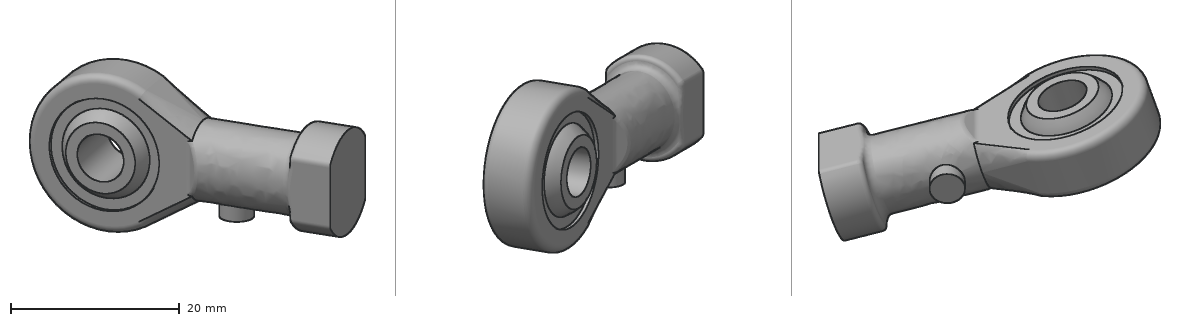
import cadquery as cq
import math

EYE_RADIUS = 10.0
EYE_HALF_THICKNESS = 6.75 / 2
EYE_ROUND = 1.0
RECESS_RADIUS = 7.1
RECESS_DEPTH = 0.5

BALL_RADIUS = 12.7 / 2
BALL_HALF_WIDTH = 9.0 / 2
BALL_BORE_RADIUS = 3.0

NECK_HALF_HEIGHT = 5.0
NECK_HALF_WIDTH = 4.75
NECK_START = 10.0
TAPER_ANGLE = 30.0
SLOPE_START = 10.97
SLOPE_ANGLE = 45.0
SLOPE_HEIGHT = NECK_HALF_WIDTH - EYE_HALF_THICKNESS
SLOPE_ROOT_ROUND = 1.0
SLOPE_CREST_ROUND = 0.7

SHANK_END = 30.0
COLLAR_START = 24.6
COLLAR_RADIUS = 6.6
COLLAR_HALF_FLATS = 10.5 / 2
COLLAR_CORNER_ROUND = 0.9
COLLAR_ROOT_ROUND = 0.95
COLLAR_RIM_ROUND = 0.64

STUB_RADIUS = 2.1
STUB_X = 15.65
STUB_BOTTOM = -6.5

taper = math.radians(TAPER_ANGLE)
tangent_x = EYE_RADIUS * math.sin(taper)
tangent_z = EYE_RADIUS * math.cos(taper)
taper_end = tangent_x + (tangent_z - NECK_HALF_HEIGHT) / math.tan(taper)


def disc(radius, half_width):
    """Cylinder along Y, centred on the origin."""
    return cq.Workplane("XZ").circle(radius).extrude(half_width, both=True)


def corner_cutter():
    """Tool for the +Y +Z flank edge: its round widens from the eye's round to the neck's oval."""
    half = EYE_HALF_THICKNESS
    r = EYE_ROUND
    setback = r * (1 - math.sqrt(0.5))

    def on_eye(depth, y):
        """Point at a radial depth below the eye's rim, on the tangent line."""
        return cq.Vector(tangent_x - depth * math.sin(taper), y, tangent_z - depth * math.cos(taper))

    def on_neck(y):
        return cq.Vector(taper_end, y, NECK_HALF_HEIGHT * math.sqrt(1 - (y / NECK_HALF_WIDTH) ** 2))

    def section(corner, top, middle, side):
        return cq.Wire.assembleEdges([
            cq.Edge.makeLine(corner, top),
            cq.Edge.makeThreePointArc(top, middle, side),
            cq.Edge.makeLine(side, corner),
        ])

    at_eye = section(on_eye(0, half), on_eye(0, half - r), on_eye(setback, half - setback), on_eye(r, half))
    at_neck = section(
        cq.Vector(taper_end, half, NECK_HALF_HEIGHT), on_neck(0), on_neck(half / 2), on_neck(half))
    return cq.Workplane(obj=cq.Solid.makeLoft([at_eye, at_neck], True))


def make_eye():
    ring = disc(EYE_RADIUS, EYE_HALF_THICKNESS).faces("<Y or >Y").edges().fillet(EYE_ROUND)
    flanks = (
        cq.Workplane("XZ")
        .polyline([
            (0, 0),
            (tangent_x, tangent_z),
            (taper_end, NECK_HALF_HEIGHT),
            (taper_end, -NECK_HALF_HEIGHT),
            (tangent_x, -tangent_z),
        ])
        .close()
        .extrude(EYE_HALF_THICKNESS, both=True)
    )
    ring = ring.cut(flanks)
    upper_back = corner_cutter()
    upper_front = upper_back.mirror("XZ")
    for cutter in (upper_back, upper_front, upper_back.mirror("XY"), upper_front.mirror("XY")):
        flanks = flanks.cut(cutter)
    return ring.union(flanks)


def collar_bar():
    """Collar section carried along the whole shank."""
    length = SHANK_END - NECK_START
    bar = cq.Workplane("YZ", origin=(NECK_START, 0, 0)).circle(COLLAR_RADIUS).extrude(length)
    flats = cq.Workplane("XY").box(4 * SHANK_END, 2 * COLLAR_HALF_FLATS, 4 * COLLAR_RADIUS)
    return bar.intersect(flats).edges("|X").edges("<Y or >Y").fillet(COLLAR_CORNER_ROUND)


def slope_cutter():
    """Tool on the +Y side that brings the neck down along a slope to the eye's flat face."""
    low = EYE_HALF_THICKNESS
    high = low + 2 * SLOPE_HEIGHT
    half_bend = math.radians(SLOPE_ANGLE / 2)
    tangent_length = SLOPE_ROOT_ROUND * math.tan(half_bend)
    root_x = SLOPE_START - tangent_length
    root_middle = (
        root_x + SLOPE_ROOT_ROUND * math.sin(half_bend),
        low + SLOPE_ROOT_ROUND * (1 - math.cos(half_bend)),
    )
    slope = math.radians(SLOPE_ANGLE)
    root_end = (
        SLOPE_START + tangent_length * math.cos(slope),
        low + tangent_length * math.sin(slope),
    )
    return (
        cq.Workplane("XY")
        .moveTo(0, low)
        .lineTo(root_x, low)
        .threePointArc(root_middle, root_end)
        .lineTo(SLOPE_START + (high - low) / math.tan(slope), high)
        .lineTo(0, high)
        .close()
        .extrude(2 * NECK_HALF_HEIGHT, both=True)
    )


def make_shank():
    neck = (
        cq.Workplane("YZ", origin=(NECK_START, 0, 0))
        .ellipse(NECK_HALF_WIDTH, NECK_HALF_HEIGHT)
        .extrude(COLLAR_START - NECK_START)
    )
    oversize_collar = (
        cq.Workplane("YZ", origin=(COLLAR_START, 0, 0))
        .circle(2 * COLLAR_RADIUS)
        .extrude(SHANK_END - COLLAR_START)
    )
    shank = neck.union(oversize_collar).edges("%ELLIPSE").edges(">X").fillet(COLLAR_ROOT_ROUND)
    shank = shank.intersect(collar_bar())

    rim_top = cq.selectors.NearestToPointSelector((COLLAR_START, 0, COLLAR_RADIUS))
    shank = shank.edges(rim_top).fillet(COLLAR_RIM_ROUND)

    cutter = slope_cutter()
    shank = shank.cut(cutter).cut(cutter.mirror("XZ"))
    crest_x = SLOPE_START + SLOPE_HEIGHT / math.tan(math.radians(SLOPE_ANGLE))
    for side in (-1, 1):
        crest = (crest_x, side * NECK_HALF_WIDTH, 0)
        shank = shank.edges(cq.selectors.NearestToPointSelector(crest)).fillet(SLOPE_CREST_ROUND)
    return shank


def make_stub():
    return (
        cq.Workplane("XY", origin=(STUB_X, 0, STUB_BOTTOM)).circle(STUB_RADIUS).extrude(-STUB_BOTTOM)
    )


def barrel(half_width):
    """Ball-sized sphere about the origin with flat ends at +-half_width along Y."""
    end_radius = math.sqrt(BALL_RADIUS**2 - half_width**2)
    return (
        cq.Workplane("YZ")
        .moveTo(-half_width, 0)
        .lineTo(-half_width, end_radius)
        .threePointArc((0, BALL_RADIUS), (half_width, end_radius))
        .lineTo(half_width, 0)
        .close()
        .revolve(360, (0, 0, 0), (1, 0, 0))
    )


def make_housing():
    seat_half_width = EYE_HALF_THICKNESS - RECESS_DEPTH
    recess = disc(RECESS_RADIUS, EYE_HALF_THICKNESS).cut(disc(RECESS_RADIUS, seat_half_width))
    housing = make_eye().union(make_shank()).union(make_stub())
    return housing.cut(recess).cut(barrel(seat_half_width))


def make_ball():
    return barrel(BALL_HALF_WIDTH).cut(disc(BALL_BORE_RADIUS, BALL_HALF_WIDTH))


housing = make_housing()
ball = make_ball()
result = cq.Compound.makeCompound([housing.val(), ball.val()])